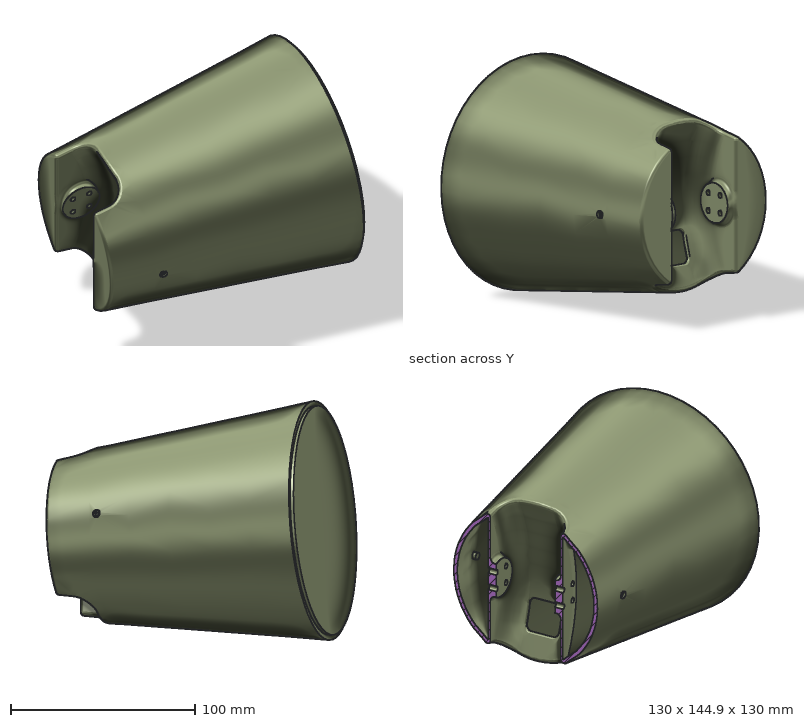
import cadquery as cq
import math

total_length = 144.9
plate_overhang = 1.9
housing_length = total_length - plate_overhang
back_radius = 65.0
front_radius = 45.0
wall = 2.6
edge_fillet = 2.0
taper = (back_radius - front_radius) / housing_length

cradle_radius = 95.6
cradle_depth = 30.1
cradle_half_width = 22.5
cradle_corner = 11.9
cradle_wall = 1.6

boss_radius = 11.2
boss_y = 13.5
boss_height = 3.8
boss_flare = 2.9
boss_hole_radius = 1.5
boss_hole_spacing = 9.9
boss_hole_depth = boss_height + cradle_wall

window_width = 20.9
window_height = 18.1
window_z = -24.9
window_corner = 3.5
window_fillet = 1.0

plate_radius = 62.3
plate_thickness = 4.3
screw_radius = 2.0
screw_y = 29.8
screw_recess = 1.5
screw_length = 3.6
socket_radius = 1.0
socket_depth = 1.2

plate_seat_y = total_length - plate_thickness
screw_head_x = front_radius + taper * screw_y - screw_recess
screw_tip_x = screw_head_x - screw_length
cradle_axis_y = cradle_depth - cradle_radius
tolerance = 0.001


def cone_radius(y):
    """Outer radius of the housing at a distance y from the narrow end."""
    return front_radius + taper * y


def cone(y_start, y_end, inset):
    """Solid cone between two Y positions, inset radially from the outer surface."""
    return (
        cq.Workplane("YZ")
        .moveTo(y_start, 0)
        .lineTo(y_start, cone_radius(y_start) - inset)
        .lineTo(y_end, cone_radius(y_end) - inset)
        .lineTo(y_end, 0)
        .close()
        .revolve(360, (0, 0), (1, 0))
    )


def cradle_disc(growth):
    """Rounded disc that shapes the cradle, grown outwards by the given amount."""
    half_width = cradle_half_width + growth
    return (
        cq.Workplane("YZ", origin=(-half_width, cradle_axis_y, 0))
        .circle(cradle_radius + growth)
        .extrude(2 * half_width)
        .edges()
        .fillet(cradle_corner + growth)
    )


def rod(x_start, y, z, radius, length):
    """Cylinder along X; a negative length runs towards -X."""
    return cq.Workplane("YZ", origin=(x_start, y, z)).circle(radius).extrude(length)


def lies_on(edge, offset):
    """True if offset(point) is zero all along the edge."""
    return all(abs(offset(edge.positionAt(t))) < tolerance for t in (0.1, 0.5, 0.9))


def add_bosses(body):
    """Round boss on each cradle side wall, flared where it meets the wall."""
    face_x = cradle_half_width - boss_height
    foot_radius = boss_radius + boss_flare
    root_x = cradle_half_width + wall
    boss = (
        cq.Workplane("XZ", origin=(0, boss_y, 0))
        .moveTo(face_x, 0)
        .lineTo(face_x, boss_radius)
        .lineTo(cradle_half_width - boss_flare, boss_radius)
        .radiusArc((cradle_half_width, foot_radius), -boss_flare)
        .lineTo(root_x, foot_radius)
        .lineTo(root_x, 0)
        .close()
        .revolve(360, (0, 0), (1, 0))
    )
    boss = boss.intersect(cone(0, housing_length, 0))
    return body.union(boss).union(boss.mirror("YZ"))


def round_front_edges(body):
    """Round the edges of the end face and the rim where the cradle meets the cone."""
    def off_end_face(point):
        return point.y

    def off_cone(point):
        return math.hypot(point.x, point.z) - cone_radius(point.y)

    rim = [
        edge for edge in body.edges().vals()
        if lies_on(edge, off_end_face)
        or (lies_on(edge, off_cone) and edge.Center().y < cradle_depth)
    ]
    return body.newObject(rim).fillet(edge_fillet)


def cut_window(body):
    """Rounded window in the cradle floor, opening into the cavity, with a rounded rim."""
    window = (
        cq.Workplane("XZ", origin=(0, 0, window_z))
        .rect(window_width, window_height)
        .extrude(-(cradle_depth + cradle_wall))
        .edges("|Y")
        .fillet(window_corner)
    )
    body = body.cut(window)

    def off_cradle_floor(point):
        return math.hypot(point.y - cradle_axis_y, point.z) - cradle_radius

    rim = [
        edge for edge in body.edges().vals()
        if lies_on(edge, off_cradle_floor)
        and abs(edge.Center().x) < window_width / 2 + tolerance
        and abs(edge.Center().z - window_z) < window_height / 2 + tolerance
    ]
    return body.newObject(rim).fillet(window_fillet)


def cut_cavity(body):
    """Hollow inside, following the cone, the end face and the cradle, plus the plate seat."""
    cavity = cone(wall, plate_seat_y, wall).cut(cradle_disc(cradle_wall))
    return body.cut(cavity).cut(make_base_plate())


def drill_bosses(body):
    """Square pattern of four small holes through each boss into the cavity."""
    half_spacing = boss_hole_spacing / 2
    face_x = cradle_half_width - boss_height
    for side in (-1, 1):
        for dy in (-half_spacing, half_spacing):
            for dz in (-half_spacing, half_spacing):
                hole = rod(side * face_x, boss_y + dy, dz, boss_hole_radius, side * boss_hole_depth)
                body = body.cut(hole)
    return body


def drill_screw_holes(body):
    """Hole for a screw through the cone wall on each side."""
    for side in (-1, 1):
        hole = rod(side * back_radius, screw_y, 0, screw_radius, side * (screw_tip_x - back_radius))
        body = body.cut(hole)
    return body


def make_housing():
    """Hollow cone with the cradle, its bosses and all openings."""
    body = cone(0, housing_length, 0).cut(cradle_disc(0))
    body = add_bosses(body)
    body = round_front_edges(body)
    body = cut_window(body)
    body = cut_cavity(body)
    body = drill_bosses(body)
    return drill_screw_holes(body)


def make_base_plate():
    """Round plate that closes the wide end."""
    return cq.Workplane("XZ", origin=(0, plate_seat_y, 0)).circle(plate_radius).extrude(-plate_thickness)


def make_side_screw(side):
    """Headless screw with a round socket, set below the surface of the cone."""
    screw = rod(side * screw_head_x, screw_y, 0, screw_radius, -side * screw_length)
    socket = rod(side * screw_head_x, screw_y, 0, socket_radius, -side * socket_depth)
    return screw.cut(socket)


housing = make_housing()
base_plate = make_base_plate()
side_screws = [make_side_screw(side) for side in (-1, 1)]

result = cq.Compound.makeCompound(
    [housing.val(), base_plate.val(), *[screw.val() for screw in side_screws]]
)